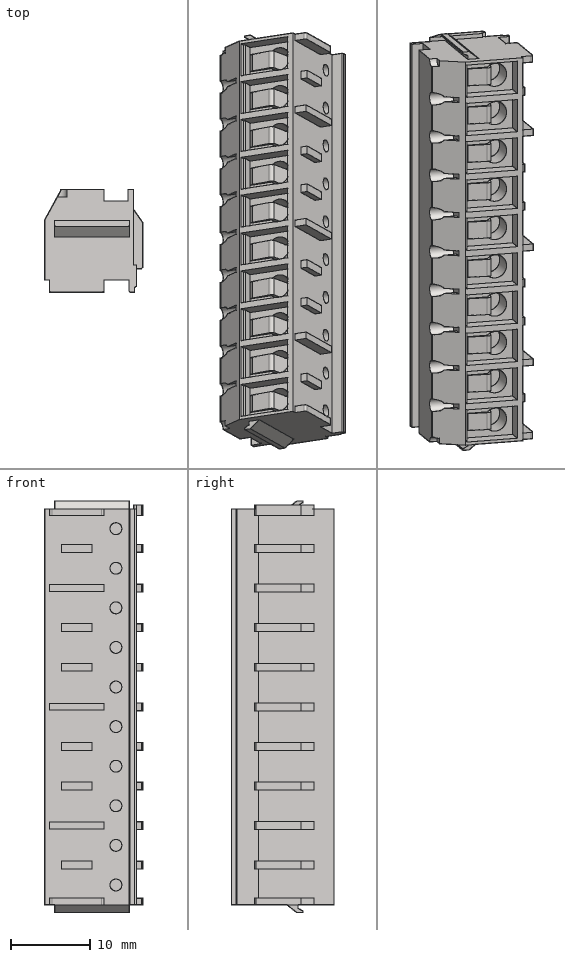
import cadquery as cq
import math

poles = 10
pitch = 5.0
height = poles * pitch
pole_heights = [(index + 0.5) * pitch for index in range(poles)]
joint_heights = [index * pitch for index in range(1, poles)]

housing_depth = 13.0
rib_root_y = 1.55
chamfer_width = 2.03
chamfer_start_y = 9.15
chamfer_end_y = 12.85
channel_left_x = 7.5
front_rail_left_x = 10.65
front_rail_right_x = 11.35
front_rail_step_y = (0.6, 0.75)
front_rail_chamfer = 0.15
rear_rail_left_x = 10.5
rear_channel_floor_y = 11.55
back_x = 11.25
back_pad_x = 11.6
back_pad_top_y = 3.45

long_rib_x = (0.6, 7.5)
long_rib_thickness = 0.85
end_rib_corner_radius = 0.3
short_rib_x = (2.15, 6.0)
short_rib_front_y = 0.65
short_rib_thickness = 1.0
long_rib_spacing = 3
first_long_rib = 2

test_hole_x = 9.0
test_hole_diameter = 1.5
test_hole_depth = 3.0

chamber_wall = 0.8
chamber_low_y = 2.3
chamber_mouth_high_y = 8.95
chamber_high_y = 8.7
chamber_ledge_x = 0.7
chamber_floor_x = 2.0
wire_hole_y = 4.6
wire_hole_diameter = 3.0
wire_hole_end_x = 5.0

spring_width = 2.2
spring_top_x = 1.57
spring_bend_x = 1.77
spring_knee_x = 1.88
spring_knee_y = 8.48
spring_bend_y = 8.25
spring_nose_start_y = 5.8
spring_nose_end_y = 5.2
spring_nose_drop = 0.25
spring_tip_y = 4.6
spring_tip_x = wire_hole_end_x

notch_x = 2.05
notch_radius = 0.8
notch_depth = 3.1
end_notch_depth = 0.95
slot_width = 0.64

hook_x = (1.25, 10.7)
hook_height = 1.0
hook_lip_bottom = 0.8
hook_neck_height = 0.45
hook_tip_y = 9.08
hook_neck_y = 8.45
hook_crest_y = 8.28
hook_base_y = 7.0

boss_tip_x = 12.4
boss_low_y = 2.95
boss_slope_y = 8.8
boss_high_y = 10.45
boss_thickness = 1.0
end_boss_thickness = 0.85
boss_edge_chamfer = 0.2
top_boss_rise = 0.5


def box(x, y, z):
    """Axis-aligned box from (low, high) pairs."""
    return cq.Workplane("XY").box(x[1] - x[0], y[1] - y[0], z[1] - z[0], centered=False).translate(
        (x[0], y[0], z[0])
    )


def prism(points, z_low, z_high):
    """XY outline extruded between two heights."""
    return cq.Workplane("XY").workplane(offset=z_low).polyline(points).close().extrude(z_high - z_low)


def solids(parts):
    """The bare shapes of a list of workplanes."""
    return [part.val() for part in parts]


def housing():
    outline = [
        (0, rib_root_y),
        (front_rail_left_x, rib_root_y),
        (front_rail_left_x, front_rail_chamfer),
        (front_rail_left_x + front_rail_chamfer, 0),
        (front_rail_right_x, 0),
        (front_rail_right_x, front_rail_step_y[0]),
        (back_pad_x, front_rail_step_y[1]),
        (back_pad_x, back_pad_top_y),
        (back_x, back_pad_top_y),
        (back_x, housing_depth),
        (rear_rail_left_x, housing_depth),
        (rear_rail_left_x, rear_channel_floor_y),
        (channel_left_x, rear_channel_floor_y),
        (channel_left_x, housing_depth),
        (chamfer_width, housing_depth),
        (chamfer_width, chamfer_end_y),
        (0, chamfer_start_y),
    ]
    return prism(outline, 0, height)


def front_ribs():
    """Locating ribs: one at every pole joint and a round-cornered one at each end."""
    ribs = []
    for index, z in enumerate(joint_heights, start=1):
        if index % long_rib_spacing == first_long_rib:
            x, front_y, thickness = long_rib_x, 0, long_rib_thickness
        else:
            x, front_y, thickness = short_rib_x, short_rib_front_y, short_rib_thickness
        ribs.append(box(x, (front_y, rib_root_y), (z - thickness / 2, z + thickness / 2)))
    for z_low in (0, height - long_rib_thickness):
        rib = box(long_rib_x, (0, rib_root_y), (z_low, z_low + long_rib_thickness))
        ribs.append(rib.edges("|Z and <Y").fillet(end_rib_corner_radius))
    return ribs


def locking_boss(z_low, z_high):
    outline = [
        (back_x, boss_high_y),
        (boss_tip_x, boss_slope_y),
        (boss_tip_x, boss_low_y + boss_edge_chamfer),
        (boss_tip_x - boss_edge_chamfer, boss_low_y),
        (back_pad_x, boss_low_y),
        (back_pad_x, back_pad_top_y),
        (back_x, back_pad_top_y),
    ]
    return prism(outline, z_low, z_high)


def locking_bosses():
    """One boss at every pole joint and one at each end; the top one stands proud of the housing."""
    bosses = [
        locking_boss(0, end_boss_thickness),
        locking_boss(height - end_boss_thickness, height + top_boss_rise),
    ]
    for z in joint_heights:
        bosses.append(locking_boss(z - boss_thickness / 2, z + boss_thickness / 2))
    return bosses


def latch_hooks():
    """A hook on each end: a ramp ending in an overhanging lip."""
    outline = [
        (hook_base_y, 0),
        (hook_crest_y, hook_height),
        (hook_tip_y, hook_height),
        (hook_tip_y, hook_lip_bottom),
        (hook_neck_y, hook_neck_height),
        (hook_neck_y, 0),
    ]
    hook = cq.Workplane("YZ").polyline(outline).close().extrude(hook_x[1] - hook_x[0])
    top_hook = hook.translate((hook_x[0], 0, height))
    return [top_hook, top_hook.mirror("XY", (0, 0, height / 2))]


def chamber(z):
    """Wire chamber, stepped on its upper side, with a round wire entry in its floor."""
    half = (pitch - chamber_wall) / 2
    outline = [
        (0, chamber_low_y),
        (chamber_floor_x, chamber_low_y),
        (chamber_floor_x, chamber_high_y),
        (chamber_ledge_x, chamber_high_y),
        (chamber_ledge_x, chamber_mouth_high_y),
        (0, chamber_mouth_high_y),
    ]
    wire_hole = cq.Workplane("YZ", origin=(0, wire_hole_y, z)).circle(wire_hole_diameter / 2)
    return prism(outline, z - half, z + half).union(wire_hole.extrude(wire_hole_end_x))


def clamp_spring(z):
    """Spring strip with a rounded nose that dips into the wire entry."""
    nose_width = spring_nose_start_y - spring_nose_end_y
    nose_mid_x = spring_top_x + spring_nose_drop * (1 - math.cos(math.pi / 4))
    nose_mid_y = spring_nose_start_y - nose_width * math.sin(math.pi / 4)
    return (
        cq.Workplane("XY")
        .workplane(offset=z - spring_width / 2)
        .moveTo(spring_tip_x, chamber_high_y)
        .lineTo(chamber_floor_x, chamber_high_y)
        .lineTo(spring_knee_x, spring_knee_y)
        .lineTo(spring_bend_x, spring_bend_y)
        .lineTo(spring_top_x, spring_nose_start_y)
        .threePointArc(
            (nose_mid_x, nose_mid_y),
            (spring_top_x + spring_nose_drop, spring_nose_end_y),
        )
        .lineTo(spring_tip_x, spring_tip_y)
        .close()
        .extrude(spring_width)
    )


def marker_notch(z, depth):
    """Round notch sunk from the rear (+Y) face."""
    bore = cq.Workplane("XZ", origin=(notch_x, housing_depth, z)).circle(notch_radius)
    return bore.extrude(depth)


def marker_slot(z):
    """Narrow slot opening the notch to the chamfered face."""
    y = (housing_depth - notch_depth, housing_depth)
    return box((0, notch_x), y, (z - slot_width / 2, z + slot_width / 2))


def test_hole(z):
    hole = cq.Workplane("XZ", origin=(test_hole_x, rib_root_y, z)).circle(test_hole_diameter / 2)
    return hole.extrude(-test_hole_depth)


additions = front_ribs() + locking_bosses() + latch_hooks()
cutters = [chamber(z) for z in pole_heights]
cutters += [test_hole(z) for z in pole_heights]
cutters += [marker_notch(z, notch_depth) for z in joint_heights]
cutters += [marker_slot(z) for z in joint_heights]
cutters += [marker_notch(z, end_notch_depth) for z in (0, height)]
springs = [clamp_spring(z) for z in pole_heights]

block = housing().val().fuse(*solids(additions)).cut(*solids(cutters))
block = block.fuse(*solids(springs))
result = cq.Workplane("XY").newObject(block.Solids()).clean()